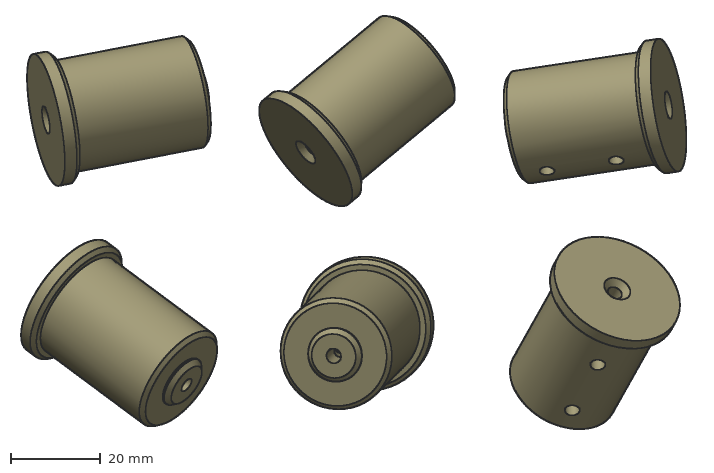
import cadquery as cq

total_length = 36.52
flange_diameter = 30.0
flange_thickness = 3.8
body_diameter = 25.38
edge_chamfer = 1.0

nose_diameter = 12.25
nose_length = 1.6
nose_chamfer_length = 1.17
nose_chamfer_width = 1.1

bore_diameter = 3.32
countersink_diameter = 6.25
countersink_angle = 90.0

side_hole_diameter = 3.32
side_hole_spacing = 16.0
first_side_hole_y = 12.1
side_hole_count = 2

body_end = total_length - nose_length


def rod(diameter, start, end):
    """Solid cylinder on the Y axis from y = start to y = end."""
    plane = cq.Workplane("XZ", origin=(0, start, 0))
    return plane.circle(diameter / 2).extrude(start - end)


flange = rod(flange_diameter, 0, flange_thickness).faces(">Y").chamfer(edge_chamfer)
body = rod(body_diameter, 0, body_end).faces(">Y").chamfer(edge_chamfer)

nose = (
    rod(nose_diameter, 0, total_length)
    .faces(">Y")
    .edges()
    .chamfer(nose_chamfer_length, nose_chamfer_width)
)

result = (
    flange.union(body)
    .union(nose)
    .faces("<Y")
    .workplane(origin=(0, 0, 0))
    .cskHole(bore_diameter, countersink_diameter, countersink_angle)
)

for index in range(side_hole_count):
    hole_y = first_side_hole_y + index * side_hole_spacing
    side_hole = (
        cq.Workplane("XY", origin=(0, hole_y, 0))
        .circle(side_hole_diameter / 2)
        .extrude(-body_diameter / 2)
    )
    result = result.cut(side_hole)